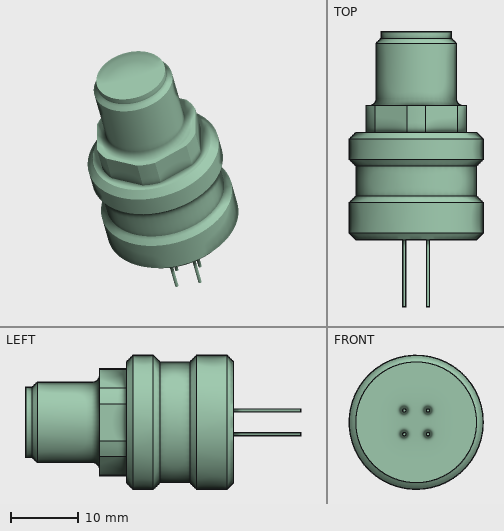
import cadquery as cq
import math

overall_length = 41.0
pin_length = 10.0
body_length = overall_length - pin_length

housing_diameter = 20.0
groove_diameter = 18.0
housing_length = 16.0
groove_start = 6.5
groove_length = 4.45
bevel = (housing_diameter - groove_diameter) / 2

hex_across_flats = 15.0
hex_corner_diameter = 16.0
hex_length = 4.0

barrel_diameter = 12.0
barrel_start = housing_length + hex_length
root_fillet = 1.0
tip_diameter = 10.5
tip_length = 1.0

pin_diameter = 0.5
pin_circle_diameter = 5.0
pin_count = 4
first_pin_angle = 45


def along_y(start, length, diameter):
    """Cylinder on the connector axis, running from Y = start towards +Y."""
    return cq.Workplane("XZ", origin=(0, start, 0)).circle(diameter / 2).extrude(-length)


def make_housing():
    outer = housing_diameter / 2
    inner = groove_diameter / 2
    groove_end = groove_start + groove_length
    return (
        cq.Workplane("XY")
        .lineTo(inner, 0)
        .lineTo(outer, bevel)
        .lineTo(outer, groove_start - bevel)
        .lineTo(inner, groove_start)
        .lineTo(inner, groove_end)
        .lineTo(outer, groove_end + bevel)
        .lineTo(outer, housing_length - bevel)
        .lineTo(inner, housing_length)
        .lineTo(0, housing_length)
        .close()
        .revolve(360, (0, 0, 0), (0, 1, 0))
    )


def make_hexagon():
    """Hexagon with two flats facing +X and -X, its corners trimmed by a cylinder."""
    sharp_corner_diameter = hex_across_flats / math.cos(math.radians(30))
    hexagon = (
        cq.Workplane("XZ", origin=(0, housing_length, 0))
        .transformed(rotate=(0, 0, 30))
        .polygon(6, sharp_corner_diameter)
        .extrude(-hex_length)
    )
    return hexagon.intersect(along_y(housing_length, hex_length, hex_corner_diameter))


def make_barrel():
    """Barrel with a flared root at the hexagon and a bevelled step down to the tip."""
    barrel_radius = barrel_diameter / 2
    tip_radius = tip_diameter / 2
    tip_start = body_length - tip_length
    return (
        cq.Workplane("XY")
        .moveTo(0, barrel_start)
        .lineTo(barrel_radius + root_fillet, barrel_start)
        .radiusArc((barrel_radius, barrel_start + root_fillet), root_fillet)
        .lineTo(barrel_radius, tip_start - (barrel_radius - tip_radius))
        .lineTo(tip_radius, tip_start)
        .lineTo(tip_radius, body_length)
        .lineTo(0, body_length)
        .close()
        .revolve(360, (0, 0, 0), (0, 1, 0))
    )


def make_pins():
    return (
        cq.Workplane("XZ")
        .polarArray(pin_circle_diameter / 2, first_pin_angle, 360, pin_count)
        .circle(pin_diameter / 2)
        .extrude(pin_length)
    )


result = make_housing().union(make_hexagon()).union(make_barrel()).union(make_pins())